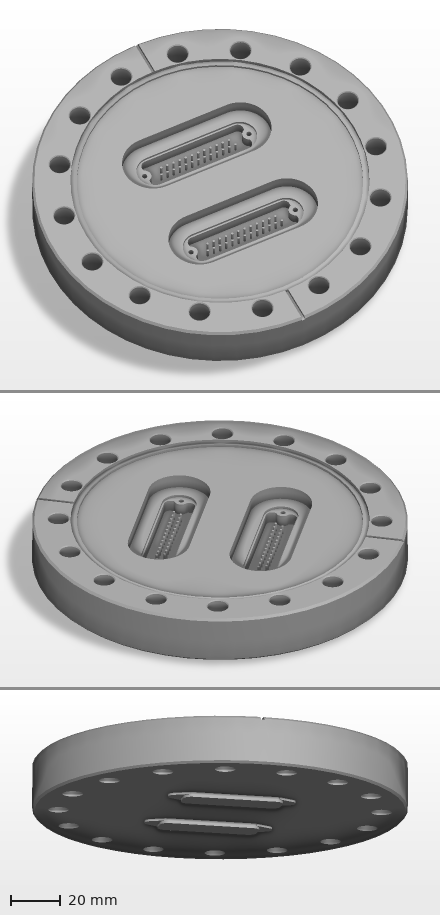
import cadquery as cq
import math

flange_diameter = 151.6
flange_thickness = 19.7
rim_chamfer = 0.9

bolt_count = 16
bolt_circle_diameter = 130.4
bolt_hole_diameter = 8.3
bolt_hole_chamfer = 0.38

recess_radius = 60.4
knife_radius = 57.8
recess_depth = 1.7
knife_tip_depth = 0.8
face_depth = 1.8

leak_groove_width = 1.4
leak_groove_depth = 1.4

connector_spacing = 42.0
slot_width = 25.2
slot_length = 64.5
slot_depth = 5.6
insert_width = 14.1
insert_length = 52.8
insert_depth = 1.0

cavity_width = 12.7
cavity_length = 45.5
cavity_depth = 4.7
cavity_corner_radius = 2.5
notch_radius = 2.7
notch_edge_radius = 0.9
screw_spacing = 47.0
screw_hole_diameter = 2.1
screw_hole_depth = 4.5

pin_diameter = 0.94
pin_height = 3.6
pin_row_spacing = 3.0
long_row_pins = 13
long_row_length = 33.4
pin_pitch = long_row_length / (long_row_pins - 1)

rear_body_width = 10.8
rear_body_length = 41.1
rear_body_corner_radius = 3.3
rear_body_height = 2.0
ear_radius = 2.9
ear_height = 0.9
ear_root_y = 18.7

face_z = flange_thickness - face_depth
slot_floor_z = face_z - slot_depth
insert_z = slot_floor_z - insert_depth
cavity_floor_z = insert_z - cavity_depth
screw_y = screw_spacing / 2


def flange_blank():
    """Chamfered disc with the sealing recess turned into its top face."""
    radius = flange_diameter / 2
    profile = [
        (0, 0),
        (radius - rim_chamfer, 0),
        (radius, rim_chamfer),
        (radius, flange_thickness - rim_chamfer),
        (radius - rim_chamfer, flange_thickness),
        (recess_radius, flange_thickness),
        (recess_radius, flange_thickness - recess_depth),
        (knife_radius, flange_thickness - knife_tip_depth),
        (knife_radius, face_z),
        (0, face_z),
    ]
    return cq.Workplane("XZ").polyline(profile).close().revolve(360, (0, 0), (0, 1))


def bolt_holes():
    """Through holes with a chamfered mouth on the sealing side."""
    hole_radius = bolt_hole_diameter / 2
    mouth_radius = hole_radius + bolt_hole_chamfer
    profile = [
        (0, 0),
        (hole_radius, 0),
        (hole_radius, flange_thickness - bolt_hole_chamfer),
        (mouth_radius, flange_thickness),
        (0, flange_thickness),
    ]
    hole = cq.Workplane("XZ").polyline(profile).close().revolve(360, (0, 0), (0, 1)).val()
    return (
        cq.Workplane()
        .polarArray(bolt_circle_diameter / 2, 180 / bolt_count, 360, bolt_count)
        .eachpoint(hole, combine=False)
    )


def leak_grooves():
    """Straight grooves from the recess wall out through the rim on both sides."""
    length = flange_diameter / 2 - recess_radius
    middle = recess_radius + length / 2
    return (
        cq.Workplane(origin=(0, 0, flange_thickness - leak_groove_depth))
        .pushPoints([(-middle, 0), (middle, 0)])
        .rect(length, leak_groove_width)
        .extrude(leak_groove_depth)
    )


def upright_slot(length, width, bottom_z, top_z):
    """Round-ended slot along Y, centred on the Z axis."""
    return cq.Workplane(origin=(0, 0, bottom_z)).slot2D(length, width, 90).extrude(top_z - bottom_z)


def pin_cavity():
    """Rounded pocket whose ends are notched round the screw holes."""
    screw_posts = (
        cq.Workplane(origin=(0, 0, cavity_floor_z))
        .pushPoints([(0, -screw_y), (0, screw_y)])
        .circle(notch_radius)
        .extrude(cavity_depth)
    )
    notch_edges = cq.selectors.BoxSelector(
        (-notch_radius, -cavity_length, cavity_floor_z - cavity_depth),
        (notch_radius, cavity_length, insert_z + cavity_depth),
    )
    return (
        cq.Workplane(origin=(0, 0, cavity_floor_z))
        .rect(cavity_width, cavity_length)
        .extrude(cavity_depth)
        .edges("|Z")
        .fillet(cavity_corner_radius)
        .cut(screw_posts)
        .edges("|Z")
        .edges(notch_edges)
        .fillet(notch_edge_radius)
    )


def screw_holes():
    return (
        cq.Workplane(origin=(0, 0, insert_z - screw_hole_depth))
        .pushPoints([(0, -screw_y), (0, screw_y)])
        .circle(screw_hole_diameter / 2)
        .extrude(screw_hole_depth)
    )


def pins():
    """Long row on +X, a row one pin shorter and half a pitch offset on -X."""
    points = []
    for x, count in [(pin_row_spacing / 2, long_row_pins), (-pin_row_spacing / 2, long_row_pins - 1)]:
        first_y = -pin_pitch * (count - 1) / 2
        points += [(x, first_y + i * pin_pitch) for i in range(count)]
    return (
        cq.Workplane(origin=(0, 0, cavity_floor_z))
        .pushPoints(points)
        .circle(pin_diameter / 2)
        .extrude(pin_height)
    )


def ear(side):
    """Screw ear: round tip about the screw, sides running tangent to a root as wide as the body."""
    root_x = rear_body_width / 2
    reach = screw_y - ear_root_y
    distance = math.hypot(root_x, reach)
    tangent_angle = math.acos(ear_radius / distance) - math.atan2(reach, root_x)
    tangent_x = ear_radius * math.cos(tangent_angle)
    tangent_y = screw_y + ear_radius * math.sin(tangent_angle)
    return (
        cq.Workplane(origin=(0, 0, -ear_height))
        .moveTo(-root_x, side * ear_root_y)
        .lineTo(-tangent_x, side * tangent_y)
        .threePointArc((0, side * (screw_y + ear_radius)), (tangent_x, side * tangent_y))
        .lineTo(root_x, side * ear_root_y)
        .close()
        .extrude(ear_height)
    )


def connector_rear():
    body = (
        cq.Workplane(origin=(0, 0, -rear_body_height))
        .rect(rear_body_width, rear_body_length)
        .extrude(rear_body_height)
        .edges("|Z")
        .fillet(rear_body_corner_radius)
    )
    return body.union(ear(1)).union(ear(-1))


connector_void = (
    upright_slot(slot_length, slot_width, slot_floor_z, face_z)
    .union(upright_slot(insert_length, insert_width, insert_z, slot_floor_z))
    .union(pin_cavity())
    .union(screw_holes())
    .cut(pins())
)
rear = connector_rear()

result = flange_blank().cut(bolt_holes()).cut(leak_grooves())
for connector_x in (-connector_spacing / 2, connector_spacing / 2):
    offset = (connector_x, 0, 0)
    result = result.cut(connector_void.translate(offset)).union(rear.translate(offset))